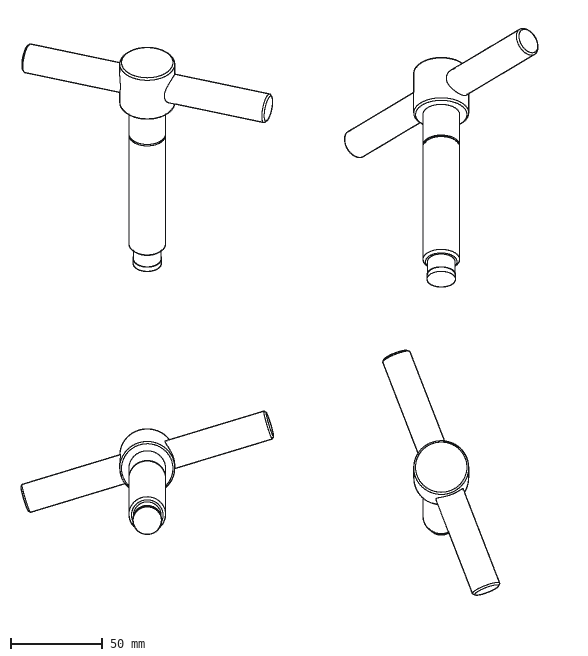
import cadquery as cq

head_diameter = 30.0
head_height = 28.0
head_chamfer = 1.0

handle_diameter = 16.0
handle_length = 140.0
handle_chamfer = 1.0

shaft_diameter = 20.0
shaft_length = 96.0
neck_length = 20.0
body_top_chamfer = 1.0
body_end_chamfer = 1.4

pin_diameter = 15.0
pin_length = 8.5
tip_diameter = 15.6
tip_rim_height = 3.0
dome_height = 2.5


def cylinder_below(top_z, diameter, length):
    """Vertical cylinder on the Z axis that hangs down from top_z."""
    return cq.Workplane("XY").workplane(offset=top_z).circle(diameter / 2).extrude(-length)


def make_head():
    return cylinder_below(head_height, head_diameter, head_height).edges().chamfer(head_chamfer)


def make_handle():
    handle = (
        cq.Workplane("YZ")
        .center(0, head_height / 2)
        .circle(handle_diameter / 2)
        .extrude(handle_length / 2, both=True)
    )
    return handle.faces("<X or >X").edges().chamfer(handle_chamfer)


def make_shaft():
    neck = cylinder_below(0, shaft_diameter, neck_length)
    body = cylinder_below(-neck_length, shaft_diameter, shaft_length - neck_length)
    body = body.edges(">Z").chamfer(body_top_chamfer)
    body = body.edges("<Z").chamfer(body_end_chamfer)
    return neck.union(body)


def make_pin():
    """Pin and domed tip, revolved from half of their profile."""
    shoulder_z = -shaft_length
    rim_top_z = shoulder_z - pin_length
    rim_bottom_z = rim_top_z - tip_rim_height
    dome_end_z = rim_bottom_z - dome_height
    tip_radius = tip_diameter / 2
    pin_radius = pin_diameter / 2
    dome_radius = (tip_radius**2 + dome_height**2) / (2 * dome_height)
    dome_center_z = dome_end_z + dome_radius
    arc_mid_x = tip_radius / 2
    arc_mid_z = dome_center_z - (dome_radius**2 - arc_mid_x**2) ** 0.5
    return (
        cq.Workplane("XZ")
        .moveTo(0, shoulder_z)
        .lineTo(pin_radius, shoulder_z)
        .lineTo(pin_radius, rim_top_z)
        .lineTo(tip_radius, rim_top_z)
        .lineTo(tip_radius, rim_bottom_z)
        .threePointArc((arc_mid_x, arc_mid_z), (0, dome_end_z))
        .close()
        .revolve(360, (0, 0, 0), (0, 1, 0))
    )


result = make_head().union(make_handle()).union(make_shaft()).union(make_pin())